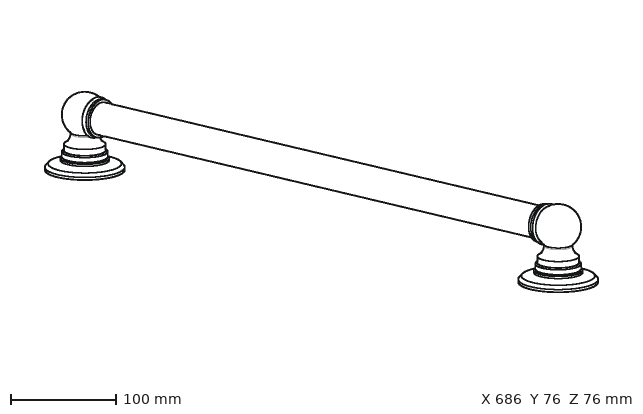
import cadquery as cq
import math

overall_length = 686.0
flange_diameter = 76.0
overall_height = 76.0
ball_radius = 22.0
bar_radius = 16.0

flange_radius = flange_diameter / 2
post_offset = overall_length / 2 - flange_radius
bar_height = overall_height - ball_radius

rim_height = 3.0
rim_top_height = 6.0
flare_top_height = 9.5
base_step_height = 12.0
band_top_height = 19.0
body_top_height = 25.5
neck_top_height = 36.0

flare_outer_radius = 35.0
base_step_radius = 23.0
band_radius = 22.0
body_radius = 20.0
neck_radius = 14.0
band_bevel = 1.5

collar_inner_radius = 18.0
bead_radius = 20.0
collar_radius = 18.5
bead_bevel = 2.0
bead_end = 18.5
collar_end = 21.0


def concave_mid(inner_radius, outer_radius, bottom, top, vertical_top):
    """Middle of the concave arc from (outer_radius, bottom) to (inner_radius, top).

    The arc is tangent to the vertical at its top, or else to the horizontal at its bottom.
    """
    width = outer_radius - inner_radius
    height = top - bottom
    offset, run = (width, height) if vertical_top else (height, width)
    arc_radius = (offset**2 + run**2) / (2 * offset)
    half_angle = math.asin(run / arc_radius) / 2
    mid_offset = arc_radius * (1 - math.cos(half_angle))
    mid_run = arc_radius * math.sin(half_angle)
    if vertical_top:
        return (inner_radius + mid_offset, top - mid_run)
    return (outer_radius - mid_run, bottom + mid_offset)


def make_post():
    """Turned post about the Z axis: flared flange, bevelled band, body and concave neck."""
    flare_mid = concave_mid(
        base_step_radius, flare_outer_radius, rim_top_height, flare_top_height, False
    )
    neck_mid = concave_mid(neck_radius, body_radius, body_top_height, neck_top_height, True)
    profile = (
        cq.Workplane("XZ")
        .moveTo(0, 0)
        .lineTo(flange_radius, 0)
        .lineTo(flange_radius, rim_height)
        .lineTo(flare_outer_radius, rim_top_height)
        .threePointArc(flare_mid, (base_step_radius, flare_top_height))
        .lineTo(base_step_radius, base_step_height)
        .lineTo(band_radius - band_bevel, base_step_height)
        .lineTo(band_radius, base_step_height + band_bevel)
        .lineTo(band_radius, band_top_height - band_bevel)
        .lineTo(band_radius - band_bevel, band_top_height)
        .lineTo(body_radius, band_top_height)
        .lineTo(body_radius, body_top_height)
        .threePointArc(neck_mid, (neck_radius, neck_top_height))
        .lineTo(neck_radius, bar_height)
        .lineTo(0, bar_height)
        .close()
    )
    return profile.revolve(360, (0, 0, 0), (0, 1, 0))


def make_head():
    """Ball centred on the origin with a beaded collar along +X, turned about the X axis."""
    ball_end = math.sqrt(ball_radius**2 - collar_inner_radius**2)
    profile = (
        cq.Workplane("XZ")
        .moveTo(-ball_radius, 0)
        .threePointArc((0, ball_radius), (ball_end, collar_inner_radius))
        .lineTo(ball_end + bead_bevel, bead_radius)
        .lineTo(bead_end, collar_radius)
        .lineTo(collar_end, collar_radius)
        .lineTo(collar_end, 0)
        .close()
    )
    return profile.revolve(360, (0, 0, 0), (1, 0, 0))


def make_left_support():
    """Post, ball and collar of the support at the -X end."""
    head = make_head().translate((0, 0, bar_height))
    return make_post().union(head).translate((-post_offset, 0, 0))


left_support = make_left_support()
right_support = left_support.mirror("YZ")
bar = (
    cq.Workplane("YZ", origin=(-post_offset, 0, bar_height))
    .circle(bar_radius)
    .extrude(2 * post_offset)
)

result = bar.union(left_support).union(right_support)